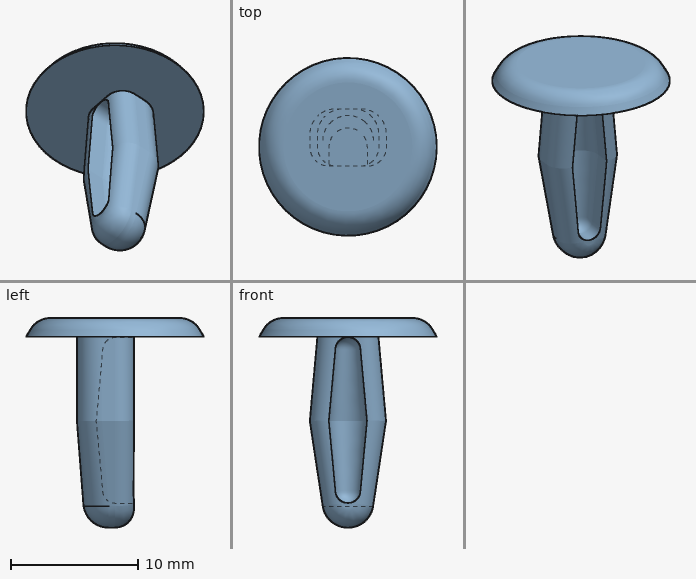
import cadquery as cq
import math

total_height = 16.5
head_radius = 7.0
head_flat_radius = 5.07
head_height = 1.5
rim_slope = math.radians(30)

waist_z = -8.1
neck_half_width = 2.41
waist_half_width = 3.0
back_y = 3.0
front_y = -1.5
front_round = 1.5
tip_radius = 2.01
tip_center_y = 0.5
tip_center_z = tip_radius - total_height

slot_waist_radius = waist_half_width / 2
slot_end_radius = 0.99
slot_top_z = -2.5
slot_bottom_z = -13.56

waist_drop = waist_z - tip_center_z
waist_distance = math.hypot(waist_half_width, waist_drop)
tangent_angle = math.atan2(waist_drop, waist_half_width) - math.acos(tip_radius / waist_distance)
tip_half_width = tip_radius * math.cos(tangent_angle)
tip_start_z = tip_center_z + tip_radius * math.sin(tangent_angle)

tip_rear_flat = 0.003
back_round = tip_half_width - tip_rear_flat / 2


def make_head():
    run = head_radius - head_flat_radius
    slope = math.tan(rim_slope)
    arc_radius = (run - head_height * slope) / (math.cos(rim_slope) - (1 - math.sin(rim_slope)) * slope)

    def arc_point(angle):
        return (
            head_flat_radius + arc_radius * math.cos(angle),
            arc_radius * (math.sin(angle) - 1),
        )

    arc_middle = arc_point((rim_slope + math.pi / 2) / 2)
    return (
        cq.Workplane("XZ")
        .moveTo(0, 0)
        .lineTo(head_flat_radius, 0)
        .threePointArc(arc_middle, arc_point(rim_slope))
        .lineTo(head_radius, -head_height)
        .lineTo(0, -head_height)
        .close()
        .revolve(360, (0, 0, 0), (0, 1, 0))
    )


def make_shank_front():
    return (
        cq.Workplane("XZ", origin=(0, tip_center_y, 0))
        .moveTo(-neck_half_width, -head_height)
        .lineTo(-waist_half_width, waist_z)
        .lineTo(-tip_half_width, tip_start_z)
        .threePointArc((0, -total_height), (tip_half_width, tip_start_z))
        .lineTo(waist_half_width, waist_z)
        .lineTo(neck_half_width, -head_height)
        .close()
        .extrude(tip_center_y - front_y)
        .edges("<Y and (not >Z)")
        .fillet(front_round)
    )


def back_section(z, half_width, rear_y):
    """Flat-fronted outline with two rounded rear corners."""
    corner_x = half_width - back_round
    corner_y = rear_y - back_round
    diagonal = back_round * math.sqrt(0.5)
    return (
        cq.Workplane("XY", origin=(0, 0, z))
        .moveTo(-half_width, 0)
        .lineTo(half_width, 0)
        .lineTo(half_width, corner_y)
        .threePointArc((corner_x + diagonal, corner_y + diagonal), (corner_x, rear_y))
        .lineTo(-corner_x, rear_y)
        .threePointArc((-corner_x - diagonal, corner_y + diagonal), (-half_width, corner_y))
        .close()
        .val()
    )


def make_shank_back():
    neck = back_section(-head_height, neck_half_width, back_y)
    waist = back_section(waist_z, waist_half_width, back_y)
    tip = back_section(tip_start_z, tip_half_width, tip_center_y + tip_half_width)
    upper = cq.Solid.makeLoft([neck, waist], True)
    lower = cq.Solid.makeLoft([waist, tip], True)
    ball = cq.Workplane("XY").sphere(tip_radius).translate((0, tip_center_y, tip_center_z))
    rear_space = cq.Workplane("XY", origin=(0, tip_center_y, tip_start_z)).box(
        2 * head_radius, head_radius, head_radius, centered=(True, False, False)
    )
    rear_space = rear_space.translate((0, 0, -head_radius))
    ball = ball.intersect(rear_space)
    return cq.Workplane(upper).union(cq.Workplane(lower)).union(ball)


def slot_section(z, radius):
    return (
        cq.Workplane("XY", origin=(0, 0, z))
        .moveTo(-radius, 2 * front_y)
        .lineTo(radius, 2 * front_y)
        .lineTo(radius, 0)
        .threePointArc((0, radius), (-radius, 0))
        .close()
        .val()
    )


def make_slot():
    waist = slot_section(waist_z, slot_waist_radius)
    slot = cq.Workplane()
    for end_z in (slot_top_z, slot_bottom_z):
        end = slot_section(end_z, slot_end_radius)
        slot = slot.add(cq.Solid.makeLoft([waist, end], True))
        slot = slot.add(cq.Workplane("XY").sphere(slot_end_radius).translate((0, 0, end_z)))
        slot = slot.add(
            cq.Workplane("XZ", origin=(0, 0, end_z)).circle(slot_end_radius).extrude(-2 * front_y)
        )
    return slot.combine()


shank = make_shank_front().union(make_shank_back()).cut(make_slot())
result = make_head().union(shank)